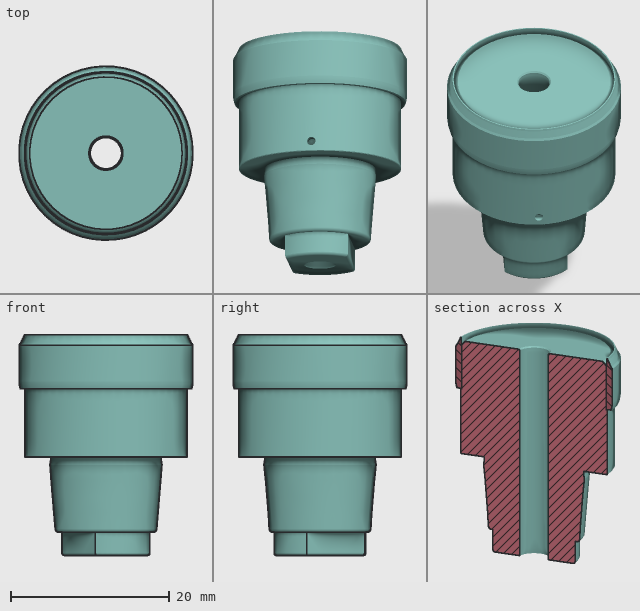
import cadquery as cq

TOTAL_HEIGHT = 27.95
KEY_TOP = 2.95
STEM_TOP = 12.45
RING_BOTTOM = 21.1

KEY_RADIUS = 5.8
KEY_FLAT_WIDTH = 8.0
KEY_FLAT_ANGLE = 30.0
KEY_FILLET = 0.4

STEM_BOTTOM_RADIUS = 6.4
STEM_MAX_RADIUS = 7.1
STEM_NECK_RADIUS = 7.02
STEM_TAPER_TOP = 11.5
STEM_NECK_BOTTOM = 12.05
STEM_FILLET = 0.45

BARREL_RADIUS = 10.29
BARREL_CHAMFER = 0.08

DIMPLE_DIAMETER = 1.05
DIMPLE_DEPTH = 1.12
DIMPLE_HEIGHT = 13.7
DIMPLE_ANGLE = 120.0

RING_RADIUS = 11.0
RING_BOTTOM_RADIUS = 10.85
RING_SIDE_BOTTOM = 22.02
RING_LOWER_ARC_RADIUS = 10.95
RING_LOWER_ARC_HEIGHT = 21.52
RING_SHOULDER_RADIUS = 10.82
RING_SHOULDER_HEIGHT = 26.9
RING_SIDE_TOP = 26.65
RIM_OUTER_RADIUS = 10.3
RIM_CHAMFER_RADIUS = 10.4
RIM_CHAMFER_HEIGHT = 27.73
RIM_INNER_RADIUS = 10.17

CORE_RADIUS = RIM_INNER_RADIUS
CORE_DEPTH_BELOW_RIM = 0.48
CORE_TOP = TOTAL_HEIGHT - CORE_DEPTH_BELOW_RIM
CORE_CHAMFER = 0.53

BORE_RADIUS = 1.98
BORE_CHAMFER = 0.17


def make_key():
    """Round boss with two flats and a rounded lower edge."""
    boss = cq.Workplane("XY").circle(KEY_RADIUS).extrude(KEY_TOP)
    flats = cq.Workplane("XY").box(
        KEY_FLAT_WIDTH, 2 * KEY_RADIUS, KEY_TOP, centered=(True, True, False)
    )
    key = boss.intersect(flats).faces("<Z").edges().fillet(KEY_FILLET)
    return key.rotate((0, 0, 0), (0, 0, 1), KEY_FLAT_ANGLE)


def make_stem():
    """Tapered stem with a short neck where it meets the barrel."""
    stem = (
        cq.Workplane("XZ")
        .moveTo(0, KEY_TOP)
        .lineTo(STEM_BOTTOM_RADIUS, KEY_TOP)
        .lineTo(STEM_MAX_RADIUS, STEM_TAPER_TOP)
        .lineTo(STEM_NECK_RADIUS, STEM_NECK_BOTTOM)
        .lineTo(STEM_NECK_RADIUS, STEM_TOP)
        .lineTo(0, STEM_TOP)
        .close()
        .revolve(360, (0, 0, 0), (0, 1, 0))
    )
    return stem.faces("<Z").edges().fillet(STEM_FILLET)


def make_barrel():
    """Plain cylinder with a fine chamfer on its lower edge."""
    barrel = (
        cq.Workplane("XY", origin=(0, 0, STEM_TOP))
        .circle(BARREL_RADIUS)
        .extrude(RING_BOTTOM - STEM_TOP)
    )
    return barrel.faces("<Z").edges().chamfer(BARREL_CHAMFER)


def make_dimple():
    """Cutter for the radial blind hole."""
    cutter = (
        cq.Workplane("YZ", origin=(BARREL_RADIUS - DIMPLE_DEPTH, 0, DIMPLE_HEIGHT))
        .circle(DIMPLE_DIAMETER / 2)
        .extrude(2 * DIMPLE_DEPTH)
    )
    return cutter.rotate((0, 0, 0), (0, 0, 1), DIMPLE_ANGLE)


def make_core():
    """Chamfered cylinder that sits inside the ring."""
    core = (
        cq.Workplane("XY", origin=(0, 0, RING_BOTTOM))
        .circle(CORE_RADIUS)
        .extrude(CORE_TOP - RING_BOTTOM)
    )
    return core.faces(">Z").edges().chamfer(CORE_CHAMFER)


def make_bore():
    """Cutter for the through bore with its chamfered mouth."""
    return (
        cq.Workplane("XZ")
        .lineTo(BORE_RADIUS, 0)
        .lineTo(BORE_RADIUS, CORE_TOP - BORE_CHAMFER)
        .lineTo(BORE_RADIUS + BORE_CHAMFER, CORE_TOP)
        .lineTo(0, CORE_TOP)
        .close()
        .revolve(360, (0, 0, 0), (0, 1, 0))
    )


def make_body():
    """Key, stem, barrel and core in one piece, bored through."""
    body = make_key().union(make_stem()).union(make_barrel()).union(make_core())
    return body.cut(make_bore()).cut(make_dimple())


def make_ring():
    """Turned ring around the core, with a bevelled rim and a rounded lower edge."""
    return (
        cq.Workplane("XZ")
        .moveTo(RIM_INNER_RADIUS, RING_BOTTOM)
        .lineTo(RING_BOTTOM_RADIUS, RING_BOTTOM)
        .threePointArc((RING_LOWER_ARC_RADIUS, RING_LOWER_ARC_HEIGHT), (RING_RADIUS, RING_SIDE_BOTTOM))
        .lineTo(RING_RADIUS, RING_SIDE_TOP)
        .lineTo(RING_SHOULDER_RADIUS, RING_SHOULDER_HEIGHT)
        .lineTo(RIM_CHAMFER_RADIUS, RIM_CHAMFER_HEIGHT)
        .lineTo(RIM_OUTER_RADIUS, TOTAL_HEIGHT)
        .lineTo(RIM_INNER_RADIUS, TOTAL_HEIGHT)
        .close()
        .revolve(360, (0, 0, 0), (0, 1, 0))
    )


body = make_body()
ring = make_ring()
result = cq.Compound.makeCompound([body.val(), ring.val()])